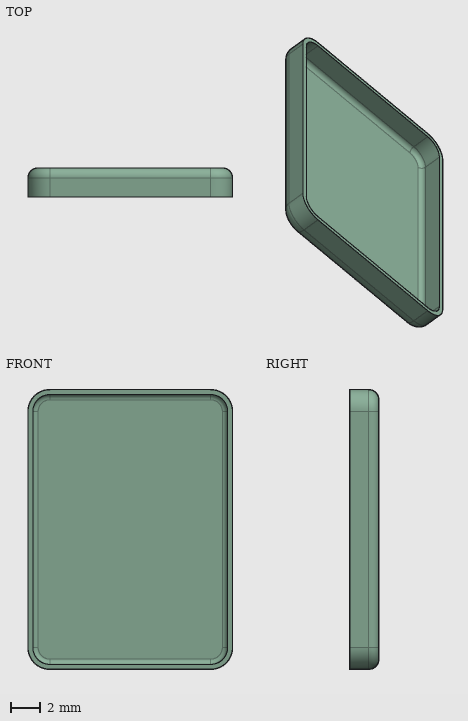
import cadquery as cq

width = 13.9
depth = 2.0
height = 19.0
wall = 0.35
corner_radius = 1.5
outer_edge_radius = 0.7
inner_edge_radius = outer_edge_radius - wall


def rounded_block(size_x, size_y, size_z, corner, back_edge):
    """Block with its front face at Y = 0, rounded corners and a rounded back rim."""
    block = cq.Workplane("XY").box(size_x, size_y, size_z, centered=(True, False, True))
    return block.edges("|Y").fillet(corner).faces(">Y").edges().fillet(back_edge)


shell = rounded_block(width, depth, height, corner_radius, outer_edge_radius)

cavity = rounded_block(
    width - 2 * wall,
    depth - wall,
    height - 2 * wall,
    corner_radius - wall,
    inner_edge_radius,
)

result = shell.cut(cavity)